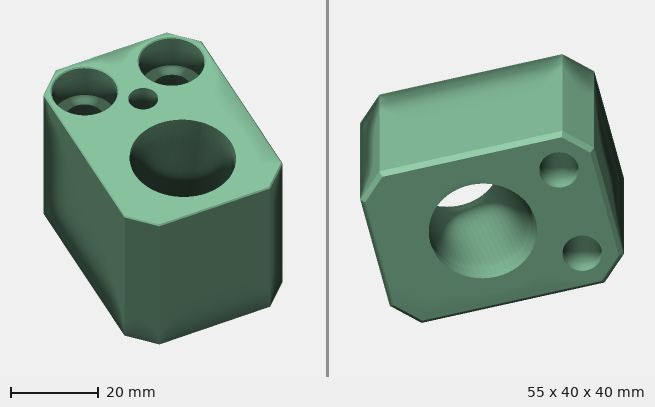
import cadquery as cq
import math

length = 55.0
width = 40.0
height = 40.0
corner_cut = 6.0
bottom_chamfer = 1.05
top_chamfer = 0.3

screw_x = -18.5
screw_spacing = 22.0
screw_diameter = 9.0
counterbore_diameter = 15.0
counterbore_depth = 9.0
counterbore_chamfer = 0.3

blind_x = -10.5
blind_diameter = 6.8
blind_depth = 2 * blind_diameter
drill_point_angle = 118.0

bore_diameter = 24.2
bore_top_x = 10.5
bore_tilt = 11.8


def make_block():
    """Rectangular block with cut corners and chamfered top and bottom rims."""
    block = cq.Workplane("XY").box(length, width, height, centered=(True, True, False))
    block = block.edges("|Z").chamfer(corner_cut)
    block = block.faces("<Z").chamfer(bottom_chamfer)
    return block.faces(">Z").chamfer(top_chamfer)


def make_screw_hole(y):
    """Through hole with a counterbore whose mouth is chamfered, as a revolved cutter."""
    hole_radius = screw_diameter / 2
    bore_radius = counterbore_diameter / 2
    mouth_radius = bore_radius + counterbore_chamfer
    floor_z = height - counterbore_depth
    return (
        cq.Workplane("XZ")
        .polyline([
            (0, 0),
            (hole_radius, 0),
            (hole_radius, floor_z),
            (bore_radius, floor_z),
            (bore_radius, height - counterbore_chamfer),
            (mouth_radius, height),
            (0, height),
        ])
        .close()
        .revolve(360, (0, 0), (0, 1))
        .translate((screw_x, y, 0))
    )


def make_blind_hole():
    """Drilled hole: a cylinder ending in a drill-point cone, as a revolved cutter."""
    radius = blind_diameter / 2
    shoulder_z = height - blind_depth
    tip_z = shoulder_z - radius / math.tan(math.radians(drill_point_angle / 2))
    return (
        cq.Workplane("XZ")
        .polyline([(0, tip_z), (radius, shoulder_z), (radius, height), (0, height)])
        .close()
        .revolve(360, (0, 0), (0, 1))
        .translate((blind_x, 0, 0))
    )


def make_tilted_bore():
    """Cylinder about the leaning axis, long enough to pass through both end faces."""
    tilt = math.radians(bore_tilt)
    axis = cq.Vector(math.sin(tilt), 0, math.cos(tilt))
    depth_below_top = 1.5 * height
    reach_above_top = 0.5 * height
    start = cq.Vector(bore_top_x, 0, height) - axis * depth_below_top
    cutter_length = depth_below_top + reach_above_top
    return cq.Workplane(cq.Solid.makeCylinder(bore_diameter / 2, cutter_length, start, axis))


result = make_block()
for side in (-1, 1):
    result = result.cut(make_screw_hole(side * screw_spacing / 2))
result = result.cut(make_blind_hole())
result = result.cut(make_tilted_bore())